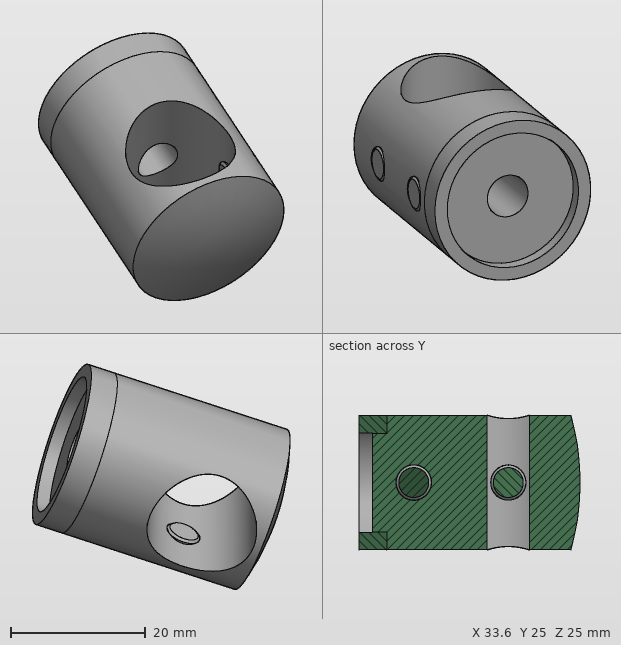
import cadquery as cq
import math

total_length = 33.6
body_diameter = 25.0
body_radius = body_diameter / 2
dome_height = 2.15
shoulder_x = total_length - dome_height

ring_length = 4.1
spigot_diameter = 21.05
recess_depth = 2.0

axial_bore_diameter = 6.52
bar_hole_diameter = 16.25
bar_hole_x = 22.15

screw_diameter = 5.2
screw_length = 5.0
screw_chamfer = 0.37
screw_outer_y = body_radius
screw_inner_y = screw_outer_y - screw_length
screw_positions_x = [8.13, bar_hole_x]


def x_cylinder(diameter, start_x, end_x):
    """Cylinder on the holder axis between two X positions."""
    return cq.Workplane("YZ", origin=(start_x, 0, 0)).circle(diameter / 2).extrude(end_x - start_x)


def y_cylinder(diameter, x, start_y, end_y):
    """Radial cylinder at a given X, between two Y positions."""
    return cq.Workplane("XZ", origin=(x, start_y, 0)).circle(diameter / 2).extrude(start_y - end_y)


def make_housing():
    """Domed cylinder with a spigot, a cross hole for the bar, an axial bore and screw holes."""
    dome_radius = (body_radius**2 + dome_height**2) / (2 * dome_height)
    dome_center_x = total_length - dome_radius
    half_angle = math.asin(body_radius / dome_radius) / 2
    arc_middle = (
        dome_center_x + dome_radius * math.cos(half_angle),
        dome_radius * math.sin(half_angle),
    )
    housing = (
        cq.Workplane("XY")
        .moveTo(ring_length, 0)
        .lineTo(ring_length, body_radius)
        .lineTo(shoulder_x, body_radius)
        .threePointArc(arc_middle, (total_length, 0))
        .close()
        .revolve(360, (0, 0, 0), (1, 0, 0))
    )
    bar_hole = (
        cq.Workplane("XY", origin=(bar_hole_x, 0, -body_radius))
        .circle(bar_hole_diameter / 2)
        .extrude(body_diameter)
    )
    housing = housing.union(x_cylinder(spigot_diameter, recess_depth, ring_length))
    housing = housing.cut(bar_hole)
    housing = housing.cut(x_cylinder(axial_bore_diameter, recess_depth, bar_hole_x))
    for x in screw_positions_x:
        housing = housing.cut(y_cylinder(screw_diameter, x, screw_outer_y, screw_inner_y))
    return housing


def make_end_ring():
    """Plain ring that fits over the spigot and projects beyond it."""
    ring = x_cylinder(body_diameter, 0, ring_length)
    return ring.cut(x_cylinder(spigot_diameter, 0, ring_length))


def make_set_screw(x):
    """Headless screw, chamfered at both ends."""
    screw = y_cylinder(screw_diameter, x, screw_outer_y, screw_inner_y)
    return screw.faces(">Y or <Y").chamfer(screw_chamfer)


housing = make_housing()
end_ring = make_end_ring()
set_screws = [make_set_screw(x) for x in screw_positions_x]

result = cq.Compound.makeCompound(
    [housing.val(), end_ring.val(), *[screw.val() for screw in set_screws]]
)